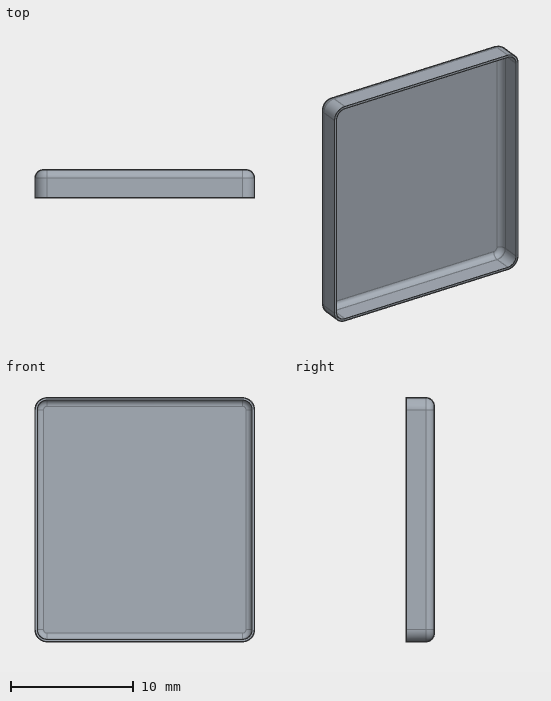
import cadquery as cq

width = 17.9
depth = 2.3
height = 19.9
wall = 0.2
corner_radius = 1.0
back_edge_radius = 0.7
inner_edge_radius = back_edge_radius - wall


def rounded_block(size_x, size_y, size_z, radius, edge_radius):
    """Block from Y=0 to Y=size_y with round corners and a rounded +Y rim."""
    block = cq.Workplane("XY").box(size_x, size_y, size_z, centered=(True, False, True))
    block = block.edges("|Y").fillet(radius)
    return block.faces(">Y").edges().fillet(edge_radius)


shell = rounded_block(width, depth, height, corner_radius, back_edge_radius)
cavity = rounded_block(
    width - 2 * wall,
    depth - wall,
    height - 2 * wall,
    corner_radius - wall,
    inner_edge_radius,
)

result = shell.cut(cavity)